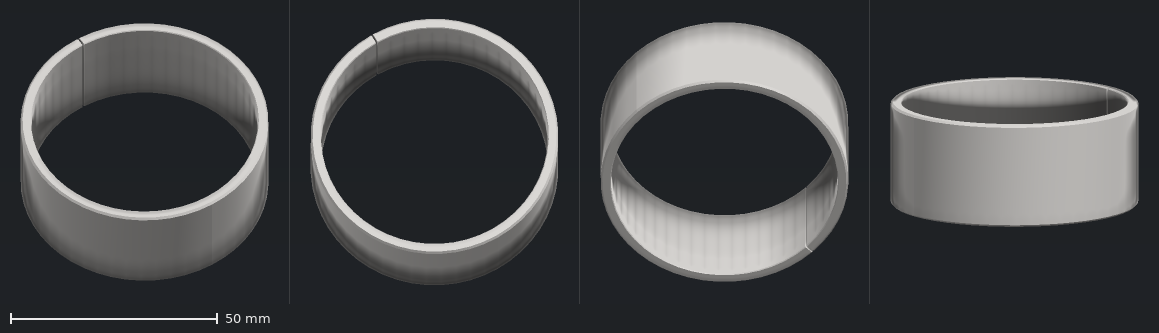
import cadquery as cq

outer_diameter = 60.0
wall = 2.5
length = 25.0
outer_chamfer = 0.5
inner_chamfer = 0.21
gap_width = 0.5

outer_radius = outer_diameter / 2
inner_radius = outer_radius - wall
half_length = length / 2

wall_section = [
    (inner_radius, half_length - inner_chamfer),
    (inner_radius + inner_chamfer, half_length),
    (outer_radius - outer_chamfer, half_length),
    (outer_radius, half_length - outer_chamfer),
    (outer_radius, -half_length + outer_chamfer),
    (outer_radius - outer_chamfer, -half_length),
    (inner_radius + inner_chamfer, -half_length),
    (inner_radius, -half_length + inner_chamfer),
]
ring = cq.Workplane("XZ").polyline(wall_section).close().revolve(360, (0, 0, 0), (0, 1, 0))

gap = (
    cq.Workplane("XY")
    .box(outer_radius, gap_width, length, centered=(True, False, True))
    .translate((-outer_radius, 0, 0))
)

result = ring.cut(gap)